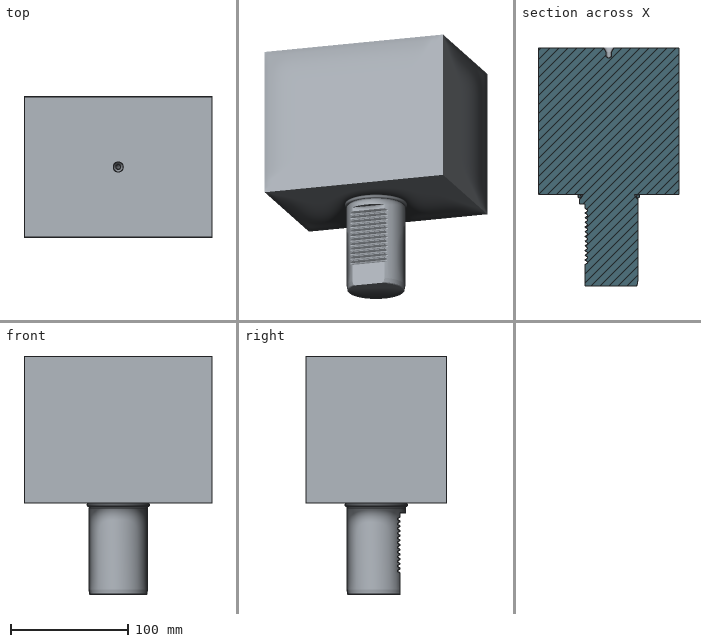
import cadquery as cq
import math

block_x = 160.0
block_y = 120.0
block_z = 125.0

total_height = 203.0
shank_length = total_height - block_z
shank_radius = 25.0
lead_taper_height = 4.3
end_taper_height = 2.0
end_chamfer = 0.6
end_taper_radius = 24.5
chamfer_radius = 24.4

ring_section_radius = 1.52
ring_center_radius = shank_radius
groove_height = 4.0

flat_offset = 20.3
flat_start = 8.3
notch_count = 12
first_notch = 13.5
rack_span = 44.0
notch_pitch = rack_span / (notch_count - 1)
notch_width = 3.7
notch_root_width = 1.0
notch_depth = 1.93

center_mouth_radius = 4.3
center_pilot_radius = 2.0
center_depth = 7.5
center_cone_half_angle = 30.0
pilot_tip_half_angle = 60.0


def make_block():
    return cq.Workplane("XY").box(block_x, block_y, block_z, centered=(True, True, False))


def make_shank():
    groove_half_angle = math.asin(ring_section_radius / (groove_height - ring_section_radius))
    groove_root_radius = shank_radius - groove_height * math.tan(groove_half_angle)
    return (
        cq.Workplane("XZ")
        .polyline([
            (0, 0),
            (groove_root_radius, 0),
            (shank_radius, -groove_height),
            (shank_radius, lead_taper_height - shank_length),
            (end_taper_radius, end_taper_height - shank_length),
            (chamfer_radius, end_chamfer - shank_length),
            (chamfer_radius - end_chamfer, -shank_length),
            (0, -shank_length),
        ])
        .close()
        .revolve(360, (0, 0, 0), (0, 1, 0))
    )


def make_flat_cutter():
    cutter_length = shank_length - flat_start
    return (
        cq.Workplane("XY")
        .box(2 * shank_radius, shank_radius, cutter_length, centered=(True, False, False))
        .translate((0, flat_offset, -shank_length))
    )


def make_notch_cutter(depth_below_block):
    half_width = notch_width / 2
    half_root = notch_root_width / 2
    root_offset = flat_offset - notch_depth
    return (
        cq.Workplane("YZ")
        .polyline([
            (flat_offset, half_width),
            (root_offset, half_root),
            (root_offset, -half_root),
            (flat_offset, -half_width),
        ])
        .close()
        .extrude(shank_radius, both=True)
        .translate((0, 0, -depth_below_block))
    )


def make_center_hole():
    cone_depth = (center_mouth_radius - center_pilot_radius) / math.tan(math.radians(center_cone_half_angle))
    tip_height = center_pilot_radius / math.tan(math.radians(pilot_tip_half_angle))
    return (
        cq.Workplane("XZ")
        .polyline([
            (0, block_z),
            (center_mouth_radius, block_z),
            (center_pilot_radius, block_z - cone_depth),
            (center_pilot_radius, block_z - center_depth),
            (0, block_z - center_depth - tip_height),
        ])
        .close()
        .revolve(360, (0, 0, 0), (0, 1, 0))
    )


def make_holder():
    shank = make_shank().cut(make_flat_cutter())
    for i in range(notch_count):
        shank = shank.cut(make_notch_cutter(first_notch + i * notch_pitch))
    return make_block().union(shank).cut(make_center_hole())


def make_sealing_ring():
    return (
        cq.Workplane("XZ")
        .center(ring_center_radius, -ring_section_radius)
        .circle(ring_section_radius)
        .revolve(360, (-ring_center_radius, 0, 0), (-ring_center_radius, 1, 0))
    )


holder = make_holder()
sealing_ring = make_sealing_ring()

result = cq.Compound.makeCompound([holder.val(), sealing_ring.val()])